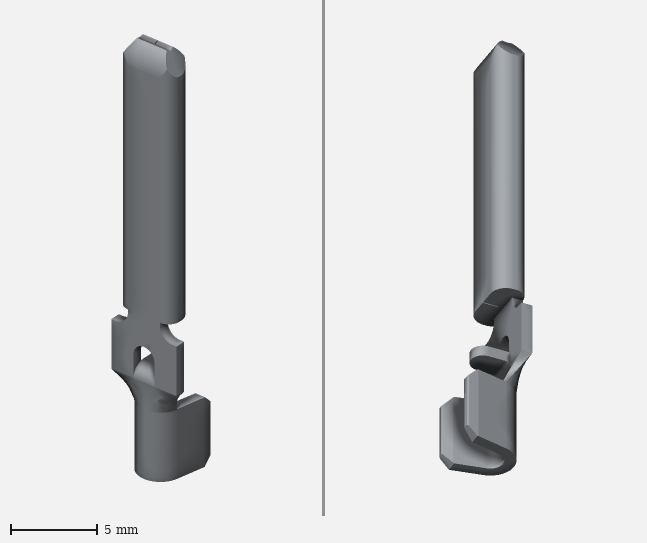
import cadquery as cq
import math

total_height = 29.29
sheet = 0.70
overlap = 0.02

barrel_height = 4.75
barrel_radius = 1.52
wing_angle = math.radians(11.5)
wing_top_y = 3.98
wing_taper_length = 0.68
wing_end_thickness = 0.40
wing_end_fillet = 0.12
wing_corner_cut = 0.70

plate_width = 4.89
plate_bottom = 6.58
plate_top = 9.96
slot_width = 1.56
slot_top = 9.00
tab_bend_radius = 0.90
tab_reach = 2.78

pin_width = 4.00
pin_depth = 2.00
pin_flat_width = 2.40
pin_bottom = 11.10
pin_seam_y = 1.00
pin_front_radius = (pin_width - pin_flat_width) / 2
pin_rear_radius = pin_depth - pin_seam_y
neck_fillet = 0.93

tip_length = 1.50
tip_edge_y = 0.72
tip_side_length = 1.48
tip_top_width = 2.22
tip_groove_depth = 0.12
seam_gap = 0.06


def point_on_circle(center, radius, angle):
    """Point on a circle at an angle measured from +X."""
    return (center[0] + radius * math.cos(angle), center[1] + radius * math.sin(angle))


def u_bend_points(radius):
    """Right end, bottom and left end of the round bottom of the U."""
    center = (0, barrel_radius)
    right = point_on_circle(center, radius, -wing_angle)
    return right, (0, barrel_radius - radius), (-right[0], right[1])


def make_barrel():
    inner_radius = barrel_radius - sheet
    outer_right, outer_bottom, outer_left = u_bend_points(barrel_radius)
    inner_right, inner_bottom, inner_left = u_bend_points(inner_radius)
    along = (math.sin(wing_angle), math.cos(wing_angle))
    across = (math.cos(wing_angle), -math.sin(wing_angle))
    inner_offset = (sheet - wing_end_thickness) / 2
    wing_length = (wing_top_y - inner_right[1] + inner_offset * math.sin(wing_angle)) / along[1]

    def on_wing(distance, offset):
        """Point at a distance along the wing and an offset outward from its inner face."""
        return (
            inner_right[0] + distance * along[0] + offset * across[0],
            inner_right[1] + distance * along[1] + offset * across[1],
        )

    taper_start = wing_length - wing_taper_length
    right_wing = [
        on_wing(taper_start, sheet),
        on_wing(wing_length, sheet - inner_offset),
        on_wing(wing_length, inner_offset),
        on_wing(taper_start, 0),
        inner_right,
    ]
    left_wing = [(-x, y) for x, y in reversed(right_wing)]
    barrel = (
        cq.Workplane("XY")
        .moveTo(*outer_left)
        .threePointArc(outer_bottom, outer_right)
        .polyline(right_wing, includeCurrent=True)
        .threePointArc(inner_bottom, inner_left)
        .polyline(left_wing[1:], includeCurrent=True)
        .close()
        .extrude(barrel_height)
    )
    fillet_zone = cq.selectors.BoxSelector(
        (-plate_width, wing_top_y - wing_end_thickness / 2, 0),
        (plate_width, wing_top_y + overlap, barrel_height),
    )
    barrel = barrel.edges("|Z").edges(fillet_zone).fillet(wing_end_fillet)

    cut_y = wing_top_y - wing_corner_cut
    for z_edge, inward in ((0, 1), (barrel_height, -1)):
        corner = (
            cq.Workplane("YZ")
            .polyline([
                (cut_y, z_edge),
                (wing_top_y, z_edge),
                (wing_top_y, z_edge + inward * wing_corner_cut),
            ])
            .close()
            .extrude(plate_width, both=True)
        )
        barrel = barrel.cut(corner)
    return barrel


def make_transition():
    """Sheet that changes from the round bottom of the U to the flat plate."""
    outer_right, outer_bottom, outer_left = u_bend_points(barrel_radius)
    inner_right, inner_bottom, inner_left = u_bend_points(barrel_radius - sheet)
    half = plate_width / 2
    return (
        cq.Workplane("XY", origin=(0, 0, barrel_height - overlap))
        .moveTo(*outer_left)
        .threePointArc(outer_bottom, outer_right)
        .lineTo(*inner_right)
        .threePointArc(inner_bottom, inner_left)
        .close()
        .workplane(offset=plate_bottom - barrel_height + overlap)
        .moveTo(-half, 0)
        .lineTo(half, 0)
        .lineTo(half, sheet)
        .lineTo(-half, sheet)
        .close()
        .loft(ruled=True, combine=True)
    )


def make_plate():
    half = plate_width / 2
    neck = pin_flat_width / 2
    fillet_center = (neck + neck_fillet, plate_top + neck_fillet)
    right_middle = point_on_circle(fillet_center, neck_fillet, math.radians(225))
    left_middle = (-right_middle[0], right_middle[1])
    plate = (
        cq.Workplane("XZ")
        .moveTo(-half, plate_bottom)
        .lineTo(half, plate_bottom)
        .lineTo(half, plate_top)
        .lineTo(fillet_center[0], plate_top)
        .threePointArc(right_middle, (neck, fillet_center[1]))
        .lineTo(neck, pin_bottom + overlap)
        .lineTo(-neck, pin_bottom + overlap)
        .lineTo(-neck, fillet_center[1])
        .threePointArc(left_middle, (-fillet_center[0], plate_top))
        .lineTo(-half, plate_top)
        .close()
        .extrude(-sheet)
    )
    slot_half = slot_width / 2
    slot = (
        cq.Workplane("XZ")
        .moveTo(-slot_half, plate_bottom)
        .lineTo(slot_half, plate_bottom)
        .lineTo(slot_half, slot_top - slot_half)
        .threePointArc((0, slot_top), (-slot_half, slot_top - slot_half))
        .close()
        .extrude(-sheet)
    )
    return plate.cut(slot)


def make_tab():
    """Tongue bent rearward out of the slot, with a round nose."""
    tab_half = slot_width / 2
    tab_top = plate_bottom + tab_bend_radius
    inner_radius = tab_bend_radius - sheet
    bend_center = (tab_bend_radius, plate_bottom)
    bend_angle = math.radians(135)
    side = (
        cq.Workplane("YZ")
        .moveTo(0, plate_bottom)
        .threePointArc(point_on_circle(bend_center, tab_bend_radius, bend_angle), (tab_bend_radius, tab_top))
        .lineTo(tab_reach, tab_top)
        .lineTo(tab_reach, tab_top - sheet)
        .lineTo(tab_bend_radius, tab_top - sheet)
        .threePointArc(point_on_circle(bend_center, inner_radius, bend_angle), (sheet, plate_bottom))
        .close()
        .extrude(tab_half, both=True)
    )
    nose_start = tab_reach - tab_half
    outline = (
        cq.Workplane("XY", origin=(0, 0, plate_bottom))
        .moveTo(-tab_half, 0)
        .lineTo(tab_half, 0)
        .lineTo(tab_half, nose_start)
        .threePointArc((0, tab_reach), (-tab_half, nose_start))
        .close()
        .extrude(tab_bend_radius)
    )
    return side.intersect(outline)


def make_pin():
    half = pin_width / 2
    front_half = pin_flat_width / 2
    rear_half = half - pin_rear_radius
    front_center = (front_half, pin_front_radius)
    rear_center = (rear_half, pin_seam_y)
    front_middle = point_on_circle(front_center, pin_front_radius, math.radians(-45))
    rear_middle = point_on_circle(rear_center, pin_rear_radius, math.radians(45))
    body = (
        cq.Workplane("XY", origin=(0, 0, pin_bottom))
        .moveTo(-front_half, 0)
        .lineTo(front_half, 0)
        .threePointArc(front_middle, (half, pin_front_radius))
        .lineTo(half, pin_seam_y)
        .threePointArc(rear_middle, (rear_half, pin_depth))
        .lineTo(-rear_half, pin_depth)
        .threePointArc((-rear_middle[0], rear_middle[1]), (-half, pin_seam_y))
        .lineTo(-half, pin_front_radius)
        .threePointArc((-front_middle[0], front_middle[1]), (-front_half, 0))
        .close()
        .extrude(total_height - pin_bottom)
    )

    dome_start = total_height - tip_length
    rear_edge_y = pin_depth - tip_edge_y
    side = (
        cq.Workplane("YZ")
        .moveTo(0, pin_bottom)
        .lineTo(0, dome_start)
        .tangentArcPoint((tip_edge_y, total_height), relative=False)
        .lineTo(pin_depth / 2, total_height - tip_groove_depth)
        .lineTo(rear_edge_y, total_height)
    )
    dome_radius = (tip_length**2 + tip_edge_y**2) / (2 * tip_edge_y)
    half_sweep = math.asin(tip_length / dome_radius) / 2
    rear_dome_middle = point_on_circle((pin_depth - dome_radius, dome_start), dome_radius, half_sweep)
    side = (
        side.threePointArc(rear_dome_middle, (pin_depth, dome_start))
        .lineTo(pin_depth, pin_bottom)
        .close()
        .extrude(pin_width, both=True)
    )

    slant_start = total_height - tip_side_length
    top_half = tip_top_width / 2
    slanted_outline = (
        cq.Workplane("XZ")
        .polyline([
            (-half, pin_bottom),
            (half, pin_bottom),
            (half, slant_start),
            (top_half, total_height),
            (-top_half, total_height),
            (-half, slant_start),
        ])
        .close()
        .extrude(-pin_depth)
    )
    seam = cq.Workplane("XY").box(
        seam_gap, pin_depth - pin_seam_y, total_height - pin_bottom, centered=(True, False, False)
    ).translate((0, pin_seam_y, pin_bottom))
    return body.intersect(side).intersect(slanted_outline).cut(seam)


result = make_barrel()
for section in (make_transition(), make_plate(), make_tab(), make_pin()):
    result = result.union(section)